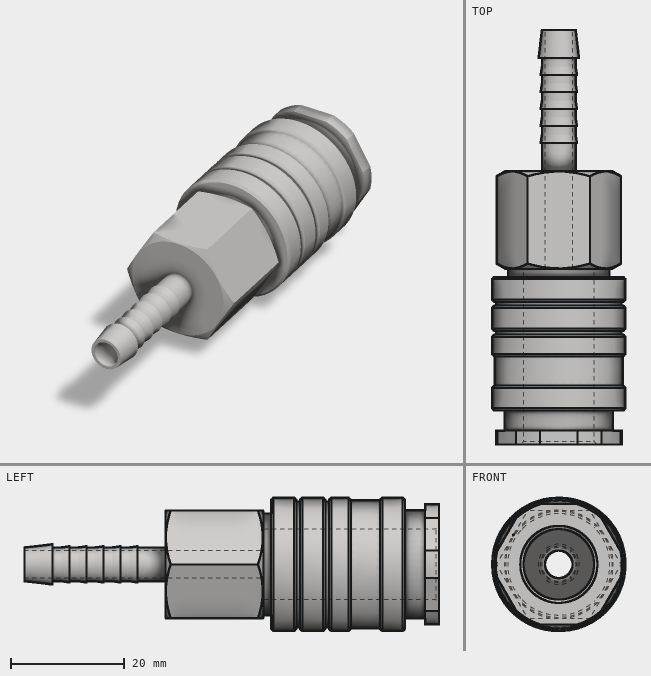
import cadquery as cq
import math

total_length = 73.0

collar_radius = 11.1
collar_across_flats = 21.2
collar_length = 2.5

front_neck_radius = 9.55
rear_neck_radius = 9.0
sleeve_radius = 11.75
sleeve_recess_radius = 11.3
groove_radius = 11.1
ring_chamfer_length = 0.45
ring_spans = [(6.0, 10.45), (15.55, 19.4), (20.0, 24.5), (25.1, 29.6)]

hex_across_flats = 19.0
hex_front = 30.95
hex_rear = 48.2
hex_chamfer_angle = 30.0
hex_end_radius = 9.35

stem_radius = 3.0
barb_radius = 3.2
barb_count = 5
barb_pitch = 3.0
barb_length = barb_pitch / 2
tip_length = 5.0
tip_base_radius = 3.6

socket_radius = 6.2
socket_mouth_radius = 6.8
socket_depth = hex_front
through_radius = 2.4


def turned(profile):
    """Revolve (radius, y) corners, listed along the axis, into a solid about Y."""
    corners = [(-radius, y) for radius, y in profile]
    outline = [(0, corners[0][1])] + corners + [(0, corners[-1][1])]
    return cq.Workplane("XY").polyline(outline).close().revolve(360, (0, 0), (0, 1))


def cylinder(radius, start, end):
    return turned([(radius, start), (radius, end)])


def across_corners(across_flats):
    return across_flats / math.cos(math.pi / 6)


def hexagonal_bar(across_flats, start, end):
    """Hexagonal bar along Y with two flats facing +Z and -Z."""
    plane = cq.Workplane("XZ", origin=(0, start, 0))
    return plane.polygon(6, across_corners(across_flats)).extrude(start - end)


def collar():
    disc = cylinder(collar_radius, 0, collar_length)
    return disc.intersect(hexagonal_bar(collar_across_flats, 0, collar_length))


def ring(start, end):
    return turned([
        (sleeve_recess_radius, start),
        (sleeve_radius, start + ring_chamfer_length),
        (sleeve_radius, end - ring_chamfer_length),
        (sleeve_recess_radius, end),
    ])


def sleeve():
    """Rings on a shallow recess at the front and on narrow grooves towards the rear."""
    grooved_part_start = ring_spans[1][0]
    body = cylinder(sleeve_recess_radius, ring_spans[0][0], grooved_part_start)
    body = body.union(cylinder(groove_radius, grooved_part_start, ring_spans[-1][1]))
    for start, end in ring_spans:
        body = body.union(ring(start, end))
    return body


def hexagonal_nut():
    corner_radius = across_corners(hex_across_flats) / 2
    chamfer_length = (corner_radius - hex_end_radius) * math.tan(math.radians(hex_chamfer_angle))
    envelope = turned([
        (hex_end_radius, hex_front),
        (corner_radius, hex_front + chamfer_length),
        (corner_radius, hex_rear - chamfer_length),
        (hex_end_radius, hex_rear),
    ])
    return hexagonal_bar(hex_across_flats, hex_front, hex_rear).intersect(envelope)


def hose_stem():
    tip_base = total_length - tip_length
    profile = [(stem_radius, hex_rear)]
    for index in reversed(range(barb_count)):
        barb_end = tip_base - barb_length - index * barb_pitch
        barb_start = barb_end - barb_length
        profile += [(stem_radius, barb_start), (barb_radius, barb_start), (stem_radius, barb_end)]
    profile += [(stem_radius, tip_base), (tip_base_radius, tip_base), (stem_radius, total_length)]
    return turned(profile)


def stepped_bore():
    mouth_chamfer = socket_mouth_radius - socket_radius
    return turned([
        (socket_mouth_radius, 0),
        (socket_radius, mouth_chamfer),
        (socket_radius, socket_depth),
        (through_radius, socket_depth),
        (through_radius, total_length),
    ])


result = (
    collar()
    .union(cylinder(front_neck_radius, collar_length, ring_spans[0][0]))
    .union(sleeve())
    .union(cylinder(rear_neck_radius, ring_spans[-1][1], hex_front))
    .union(hexagonal_nut())
    .union(hose_stem())
    .cut(stepped_bore())
)